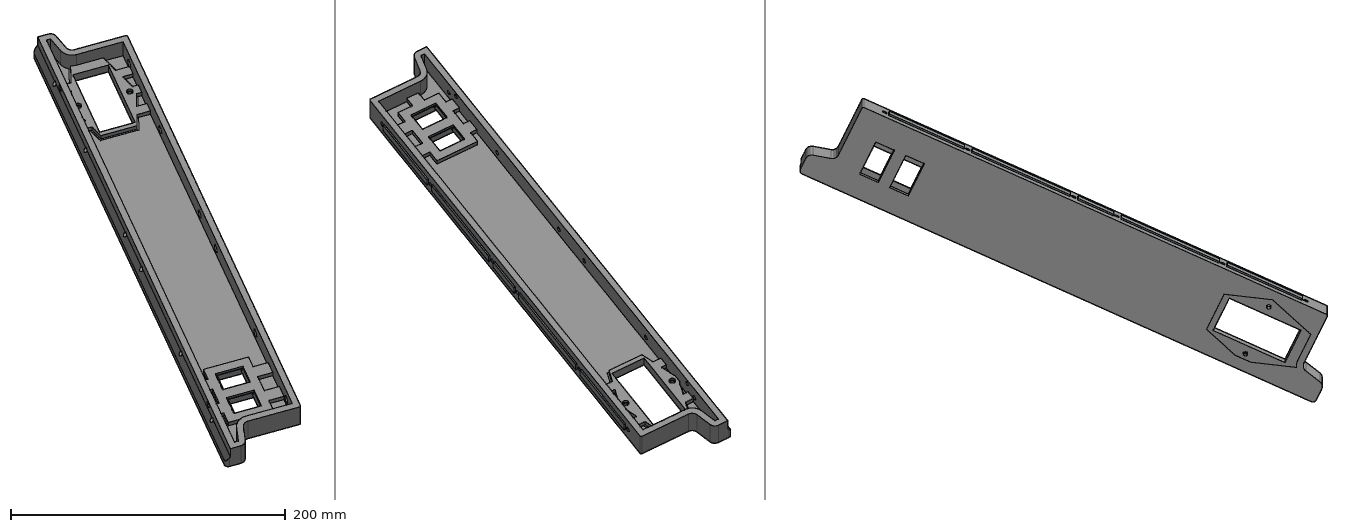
import cadquery as cq
import math

LENGTH = 416.0
HEIGHT = 20.0
WALL = 5.0
FLOOR = 4.0
PAD_TOP = 8.0

BODY_LENGTH = 375.5
BACK_Y = 32.5
FRONT_Y = -29.5
BACK_CORNER_RADIUS = 1.2
EAR_ROOT_Y = -12.5
EAR_SLOPE = 1 / 4
EAR_RADIUS = 5.0

LIP_FRONT_Y = -33.5
LIP_TOP = 11.0
LIP_EDGE = 5.5
LIP_CORNER_RADIUS = 3.0

JOINT_X = (-170.0, -103.0, -17.5, 17.5, 103.0, 170.0)
JOINT_Z = HEIGHT / 2
JOINT_DIAMETER = 3.4
JOINT_HEAD_DIAMETER = 6.0
JOINT_HEAD_DEPTH = 2.5

RIB_DEPTH = 1.2
RIB_HEIGHT = 6.2
RIB_GAP = 6.2

UPPER_X = 160.0
UPPER_Z = 16.0
UPPER_DIAMETER = 3.3
UPPER_HEAD_DIAMETER = 4.5
UPPER_HEAD_DEPTH = 2.5

SWITCH_X = 147.8
SWITCH_Y = -1.5
SWITCH_LENGTH = 53.5
SWITCH_WIDTH = 35.0
SWITCH_TAB = 10.0
WINDOW_PITCH = 24.0
WINDOW_LENGTH = 15.0
WINDOW_WIDTH = 18.0
WINDOW_LEDGE = 1.5
WINDOW_SIDE_STEP = 0.5
WINDOW_RECESS = 2.0
WINDOW_RELIEF_WIDTH = 27.5

SOCKET_X = -146.0
SOCKET_Y = -0.5
SOCKET_APEX = 26.2
SOCKET_RIGHT = 33.7
SOCKET_SLOPE = 1 / 3
SOCKET_STEP = 1.2
SOCKET_OPENING = (58.0, 27.5)
SOCKET_TAB_X = 18.7
SOCKET_TAB = 7.5
SOCKET_SCREW_Y = 20.0
SOCKET_SCREW_DIAMETER = 3.3
SOCKET_HEAD_DIAMETER = 4.5
SOCKET_HEAD_DEPTH = 2.0


def block(length, width, z_bottom, z_top, x=0.0, y=0.0):
    """Upright block centred on (x, y)."""
    return cq.Workplane("XY", origin=(x, y, z_bottom)).rect(length, width).extrude(z_top - z_bottom)


def hole_along_y(x, z, diameter, y_start, y_end):
    return cq.Workplane("XZ", origin=(x, y_start, z)).circle(diameter / 2).extrude(y_start - y_end)


def hole_up(x, y, diameter, z_bottom, z_top):
    return cq.Workplane("XY", origin=(x, y, z_bottom)).circle(diameter / 2).extrude(z_top - z_bottom)


def wall_prism(inset, z_bottom):
    """Solid inside the walls' plan outline moved inwards by inset, from z_bottom to the rim."""
    x_ear = LENGTH / 2 - inset
    x_body = BODY_LENGTH / 2 - inset
    slope_drop = inset * math.hypot(1, EAR_SLOPE)
    y_tip = EAR_ROOT_Y - EAR_SLOPE * (x_ear - BODY_LENGTH / 2) - slope_drop
    y_root = EAR_ROOT_Y - EAR_SLOPE * (x_body - BODY_LENGTH / 2) - slope_drop
    right_side = [
        (x_ear, FRONT_Y + inset),
        (x_ear, y_tip),
        (x_body, y_root),
        (x_body, BACK_Y - inset),
    ]
    left_side = [(-x, y) for x, y in reversed(right_side)]
    prism = (
        cq.Workplane("XY", origin=(0, 0, z_bottom))
        .polyline(right_side + left_side)
        .close()
        .extrude(HEIGHT - z_bottom)
    )
    prism = fillet_corners(prism, x_body, y_root, EAR_RADIUS + inset)
    tip_radius = EAR_RADIUS - inset
    if tip_radius > 0:
        prism = fillet_corners(prism, x_ear, y_tip, tip_radius)
    back_radius = BACK_CORNER_RADIUS - inset
    if back_radius > 0:
        prism = fillet_corners(prism, x_body, BACK_Y - inset, back_radius)
    return prism


def fillet_corners(solid, x, y, radius):
    """Round the two upright edges at (x, y) and (-x, y)."""
    reach = 0.05
    right = cq.selectors.BoxSelector((x - reach, y - reach, 0), (x + reach, y + reach, HEIGHT))
    left = cq.selectors.BoxSelector((-x - reach, y - reach, 0), (-x + reach, y + reach, HEIGHT))
    return solid.edges("|Z").edges(right + left).fillet(radius)


def front_lip():
    y_back = FRONT_Y + WALL / 2
    profile = [
        (y_back, 0),
        (LIP_FRONT_Y, 0),
        (LIP_FRONT_Y, LIP_EDGE),
        (FRONT_Y, LIP_TOP),
        (y_back, LIP_TOP),
    ]
    lip = cq.Workplane("YZ", origin=(-LENGTH / 2, 0, 0)).polyline(profile).close().extrude(LENGTH)
    return lip.edges("|Z").edges("<Y").fillet(LIP_CORNER_RADIUS)


def back_rib():
    """Rib pieces between neighbouring joint screws."""
    rib = cq.Workplane("XY")
    for x_left, x_right in zip(JOINT_X, JOINT_X[1:]):
        piece = block(
            x_right - x_left - RIB_GAP,
            2 * RIB_DEPTH,
            JOINT_Z - RIB_HEIGHT / 2,
            JOINT_Z + RIB_HEIGHT / 2,
            (x_left + x_right) / 2,
            BACK_Y,
        )
        rib = rib.add(piece)
    return rib


def window_centres():
    return [SWITCH_X + side * WINDOW_PITCH / 2 for side in (-1, 1)]


def switch_pad(interior):
    """Pad with tabs that reach the back, front and right walls."""
    pad = block(SWITCH_LENGTH, SWITCH_WIDTH, FLOOR, PAD_TOP, SWITCH_X, SWITCH_Y)
    for x in window_centres():
        pad = pad.union(block(SWITCH_TAB, 2 * BACK_Y, FLOOR, PAD_TOP, x))
    right_tab_end = BODY_LENGTH / 2
    right_tab = block(
        right_tab_end - SWITCH_X, SWITCH_TAB, FLOOR, PAD_TOP, (right_tab_end + SWITCH_X) / 2, SWITCH_Y
    )
    return pad.union(right_tab).intersect(interior)


def window_cutter(x):
    """Recess, 45-degree ledges at both ends of Y, and a wider relief from below."""
    z_ledge_top = PAD_TOP - WINDOW_RECESS
    z_ledge_bottom = z_ledge_top - WINDOW_LEDGE
    outer_width = WINDOW_WIDTH + 2 * WINDOW_LEDGE
    recess = block(
        WINDOW_LENGTH + 2 * WINDOW_SIDE_STEP, outer_width, z_ledge_top, PAD_TOP, x, SWITCH_Y
    )
    ledges = (
        cq.Workplane("YZ", origin=(x - WINDOW_LENGTH / 2, SWITCH_Y, 0))
        .polyline([
            (-outer_width / 2, z_ledge_top),
            (outer_width / 2, z_ledge_top),
            (WINDOW_WIDTH / 2, z_ledge_bottom),
            (-WINDOW_WIDTH / 2, z_ledge_bottom),
        ])
        .close()
        .extrude(WINDOW_LENGTH)
    )
    relief = block(WINDOW_LENGTH, WINDOW_RELIEF_WIDTH, 0, z_ledge_bottom, x, SWITCH_Y)
    return recess.union(ledges).union(relief)


def socket_hexagon(inset, z_bottom, z_top):
    """Six-sided plate around the socket, long enough to pass through the left wall."""
    apex = SOCKET_APEX - inset * math.hypot(1, SOCKET_SLOPE)
    x_right = SOCKET_RIGHT - inset
    x_left = -BODY_LENGTH / 2 - SOCKET_X
    upper = [
        (x_left, apex + SOCKET_SLOPE * x_left),
        (0, apex),
        (x_right, apex - SOCKET_SLOPE * x_right),
    ]
    lower = [(x, -y) for x, y in reversed(upper)]
    return (
        cq.Workplane("XY", origin=(SOCKET_X, SOCKET_Y, z_bottom))
        .polyline(upper + lower)
        .close()
        .extrude(z_top - z_bottom)
    )


def make_tray():
    interior = wall_prism(WALL, FLOOR)
    tray = wall_prism(0, 0).union(front_lip()).cut(interior)
    for piece in back_rib().vals():
        tray = tray.union(cq.Workplane(piece))
    tray = tray.union(switch_pad(interior))
    for x in window_centres():
        tray = tray.cut(window_cutter(x))
    tray = tray.cut(socket_hexagon(0, 0, FLOOR).intersect(wall_prism(WALL, 0)))

    y_inside = BACK_Y - WALL
    for x in JOINT_X:
        tray = tray.cut(hole_along_y(x, JOINT_Z, JOINT_DIAMETER, LIP_FRONT_Y, BACK_Y))
        head = hole_along_y(x, JOINT_Z, JOINT_HEAD_DIAMETER, y_inside, y_inside + JOINT_HEAD_DEPTH)
        tray = tray.cut(head)
    for x in (-UPPER_X, UPPER_X):
        tray = tray.cut(hole_along_y(x, UPPER_Z, UPPER_DIAMETER, FRONT_Y, FRONT_Y + WALL))
        tray = tray.cut(hole_along_y(x, UPPER_Z, UPPER_HEAD_DIAMETER, FRONT_Y, FRONT_Y + UPPER_HEAD_DEPTH))
    return tray


def make_socket_mount():
    raised = socket_hexagon(SOCKET_STEP, FLOOR, PAD_TOP)
    for x in (-SOCKET_TAB_X, 0, SOCKET_TAB_X):
        raised = raised.union(block(SOCKET_TAB, 2 * BACK_Y, FLOOR, PAD_TOP, SOCKET_X + x))
    plug = socket_hexagon(0, 0, FLOOR)
    mount = plug.union(raised).intersect(wall_prism(WALL, 0))
    mount = mount.cut(block(*SOCKET_OPENING, 0, PAD_TOP, SOCKET_X, SOCKET_Y))
    for side in (-1, 1):
        y = SOCKET_Y + side * SOCKET_SCREW_Y
        mount = mount.cut(hole_up(SOCKET_X, y, SOCKET_SCREW_DIAMETER, 0, PAD_TOP))
        mount = mount.cut(hole_up(SOCKET_X, y, SOCKET_HEAD_DIAMETER, PAD_TOP - SOCKET_HEAD_DEPTH, PAD_TOP))
    return mount


tray = make_tray()
socket_mount = make_socket_mount()
result = cq.Compound.makeCompound([tray.val(), socket_mount.val()])